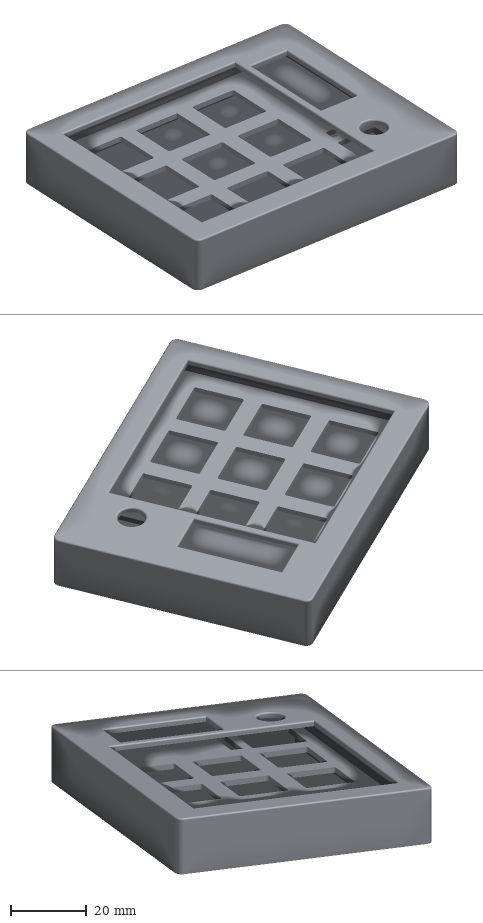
import cadquery as cq
WIDTH = 73.2
LENGTH = 89.4
HEIGHT = 15.5
CORNER_RADIUS = 2.0
EDGE_ROUND = 0.5

TRAY_HEIGHT = 8.0
PLATE_THICKNESS = 1.5
COVER_HEIGHT = HEIGHT - TRAY_HEIGHT - PLATE_THICKNESS
PLATE_TOP = TRAY_HEIGHT + PLATE_THICKNESS

WALL = 5.0
COVER_SKIN = 1.5
TRAY_FLOOR = 3.0
CAVITY_WIDTH = WIDTH - 2 * WALL
CAVITY_LENGTH = LENGTH - 2 * WALL

PIN_DIAMETER = 3.4
PIN_INSET = 2.5

KEY_SIZE = 14.0
KEY_PITCH = 19.05
KEY_COUNT = 3
KEYS_X = 0.3
KEYS_Y = -8.05
KEY_WINDOW = 58.3

DISPLAY_X = -10.2
DISPLAY_Y = 29.4
DISPLAY_WIDTH = 29.4
DISPLAY_LENGTH = 12.2
DISPLAY_SLOT_X = 8.2
DISPLAY_SLOT_WIDTH = 3.4
DISPLAY_SLOT_LENGTH = 12.5

KNOB_X = 20.1
KNOB_Y = 28.7
KNOB_DIAMETER = 7.5
ENCODER_X = 20.3
ENCODER_Y = 28.8
ENCODER_WIDTH = 15.7
ENCODER_LENGTH = 12.7

CUTOUT_RADIUS = 0.5


def block(width, length, height, z=0.0, x=0.0, y=0.0):
    """Box centred on (x, y) that stands on height z."""
    return cq.Workplane("XY").box(width, length, height, centered=(True, True, False)).translate((x, y, z))


def layer(height, z):
    """Full-size layer with rounded corners."""
    return block(WIDTH, LENGTH, height, z).edges("|Z").fillet(CORNER_RADIUS)


def make_pin(x, y):
    """Full-height pin standing at (x, y)."""
    return cq.Workplane("XY").center(x, y).circle(PIN_DIAMETER / 2).extrude(HEIGHT)


def make_pins():
    """One pin in each corner."""
    pin_x = WIDTH / 2 - PIN_INSET
    pin_y = LENGTH / 2 - PIN_INSET
    return [make_pin(side_x * pin_x, side_y * pin_y) for side_x in (-1, 1) for side_y in (-1, 1)]


def cut_pin_holes(body):
    """Cut the hole that each pin fills."""
    for pin in make_pins():
        body = body.cut(pin)
    return body


def make_tray():
    """Open-topped tray under the plate, with a hole for each pin."""
    cavity = block(CAVITY_WIDTH, CAVITY_LENGTH, TRAY_HEIGHT - TRAY_FLOOR, TRAY_FLOOR)
    return cut_pin_holes(layer(TRAY_HEIGHT, 0.0).cut(cavity))


def plate_cutout(width, length, x, y):
    """Rounded rectangular cutter through the plate."""
    return block(width, length, PLATE_THICKNESS, TRAY_HEIGHT, x, y).edges("|Z").fillet(CUTOUT_RADIUS)


def make_plate():
    """Flat plate with a grid of switch openings, a display slot and an encoder cutout."""
    plate = layer(PLATE_THICKNESS, TRAY_HEIGHT)
    middle = (KEY_COUNT - 1) / 2
    for column in range(KEY_COUNT):
        for row in range(KEY_COUNT):
            x = KEYS_X + (column - middle) * KEY_PITCH
            y = KEYS_Y + (row - middle) * KEY_PITCH
            plate = plate.cut(plate_cutout(KEY_SIZE, KEY_SIZE, x, y))
    plate = plate.cut(plate_cutout(DISPLAY_SLOT_WIDTH, DISPLAY_SLOT_LENGTH, DISPLAY_SLOT_X, DISPLAY_Y))
    plate = plate.cut(plate_cutout(ENCODER_WIDTH, ENCODER_LENGTH, ENCODER_X, ENCODER_Y))
    return cut_pin_holes(plate)


def make_cover():
    """Hollow cover with a key window, a display window and a knob hole."""
    cover = layer(COVER_HEIGHT, PLATE_TOP)
    cover = cover.cut(block(CAVITY_WIDTH, CAVITY_LENGTH, COVER_HEIGHT - COVER_SKIN, PLATE_TOP))
    cover = cover.cut(block(KEY_WINDOW, KEY_WINDOW, COVER_HEIGHT, PLATE_TOP, KEYS_X, KEYS_Y))
    cover = cover.cut(block(DISPLAY_WIDTH, DISPLAY_LENGTH, COVER_HEIGHT, PLATE_TOP, DISPLAY_X, DISPLAY_Y))
    knob_hole = cq.Workplane("XY", origin=(KNOB_X, KNOB_Y, PLATE_TOP)).circle(KNOB_DIAMETER / 2)
    cover = cover.cut(knob_hole.extrude(COVER_HEIGHT))
    cover = cover.faces(">Z").edges().fillet(EDGE_ROUND)
    return cut_pin_holes(cover)


tray = make_tray()
plate = make_plate()
cover = make_cover()
pins = make_pins()

result = cq.Compound.makeCompound([tray.val(), plate.val(), cover.val(), *[pin.val() for pin in pins]])